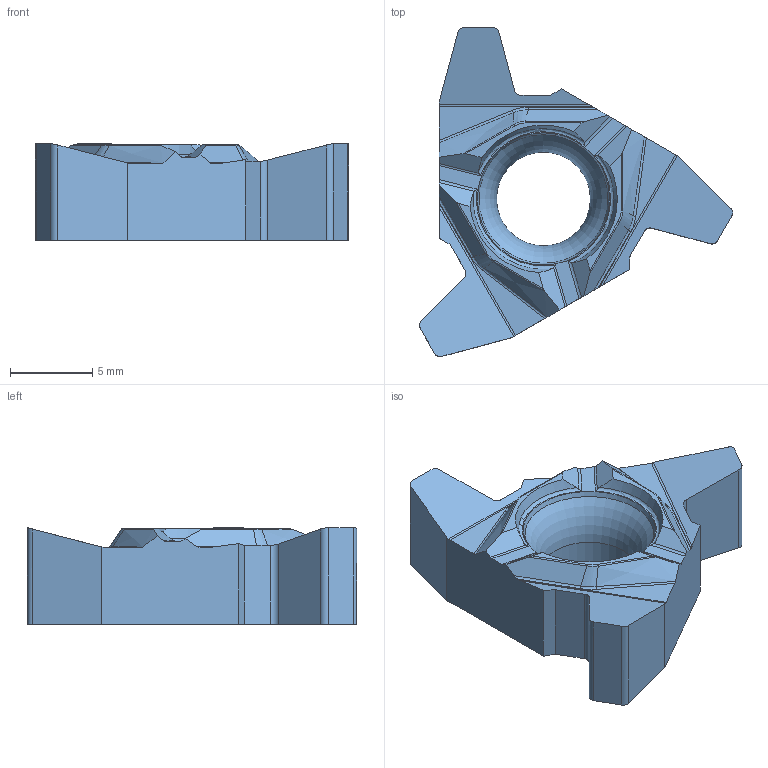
import cadquery as cq
import math

TEETH = 3
TURN = 360 / TEETH
REACH = 30.0
TOLERANCE = 0.01

SIDE_OFFSET = 6.34
RELIEF_OFFSET = 6.30
TIP_OFFSET = 10.43
TOOTH_CENTER_X = -3.955
TIP_HALF_WIDTH = 1.17
FLANK_ANGLE = math.radians(15)
TIP_RADIUS = 0.40
ROOT_RADIUS = 0.40
RELIEF_END_X = 0.44
CORNER_X = 1.09

TIP_HEIGHT = 5.87
LAND_HEIGHT = 4.64
BOSS_HEIGHT = 5.82

SLOPE_START = 5.68
SLOPE_BLEND = 0.06

FACE_TOP_OFFSET = 4.68
FACE_BASE_OFFSET = 5.48
FACE_DIRECTION = 90.0
SLANT_TOP_OFFSET = 4.79
SLANT_TOP_DIRECTION = 120.0
SLANT_BASE_OFFSET = 5.60
SLANT_BASE_DIRECTION = 112.0
CORNER_TOP_RADIUS = 1.3
CORNER_BASE_RADIUS = 2.5
BOSS_FOOT_RADIUS = 0.20
BOSS_RIM_RADIUS = 0.12

SLOT_DIRECTION = 166.0
SLOT_FLOOR_HEIGHT = 5.05
SLOT_FLOOR_HALF_WIDTH = 0.50
SLOT_WALL_ANGLE = math.radians(53)
SLOT_LEADING_RADIUS = 0.30
SLOT_TRAILING_RADIUS = 0.20
SLOT_START = 3.0

THROAT_RADIUS = 5.7 / 2
BOWL_RADIUS = 3.92
BOWL_BOTTOM = 2.10
BOWL_TOP = 4.74
LEDGE_INNER_RADIUS = 4.02
LEDGE_OUTER_RADIUS = 4.08
RECESS_FOOT_RADIUS = 4.29
RECESS_FOOT_HEIGHT = 5.20
RECESS_TOP_RADIUS = 4.49


def turned(shape, index):
    return shape.rotate((0, 0, 0), (0, 0, 1), index * TURN)


def turned_point(point, index):
    angle = math.radians(index * TURN)
    x, y = point
    return (x * math.cos(angle) - y * math.sin(angle), x * math.sin(angle) + y * math.cos(angle))


def near(points):
    """Selector for vertical edges standing on any of the given plan points."""
    def test(edge):
        center = edge.Center()
        return any(math.hypot(center.x - x, center.y - y) < TOLERANCE for x, y in points)
    return test


def make_prism():
    """Full-height prism with the outline of the insert."""
    flank = math.tan(FLANK_ANGLE)
    tip_left = (TOOTH_CENTER_X - TIP_HALF_WIDTH, TIP_OFFSET)
    tip_right = (TOOTH_CENTER_X + TIP_HALF_WIDTH, TIP_OFFSET)
    joint = (-SIDE_OFFSET, TIP_OFFSET - (tip_left[0] + SIDE_OFFSET) / flank)
    root = (tip_right[0] + (TIP_OFFSET - RELIEF_OFFSET) * flank, RELIEF_OFFSET)
    relief_end = (RELIEF_END_X, RELIEF_OFFSET)
    side_normal = math.radians(180 - TURN)
    corner_y = (SIDE_OFFSET - CORNER_X * math.cos(side_normal)) / math.sin(side_normal)
    third = [(CORNER_X, corner_y), relief_end, root, tip_right, tip_left, joint]

    outline = [turned_point(p, i) for i in range(TEETH) for p in third]
    tips = [turned_point(p, i) for i in range(TEETH) for p in (tip_left, tip_right)]
    roots = [turned_point(root, i) for i in range(TEETH)]
    prism = cq.Workplane("XY").polyline(outline).close().extrude(TIP_HEIGHT)
    prism = prism.newObject(prism.edges("|Z").filter(near(tips)).vals()).fillet(TIP_RADIUS)
    return prism.newObject(prism.edges("|Z").filter(near(roots)).vals()).fillet(ROOT_RADIUS)


def make_tooth_slope():
    """Wedge on the +Y side that raises the tooth top from the land to the tip."""
    slope = math.atan2(TIP_HEIGHT - LAND_HEIGHT, TIP_OFFSET - SLOPE_START)
    blend_end = (
        SLOPE_START + SLOPE_BLEND * math.cos(slope),
        LAND_HEIGHT + SLOPE_BLEND * math.sin(slope),
    )
    blend_start = SLOPE_START - SLOPE_BLEND
    return (
        cq.Workplane("YZ")
        .moveTo(SLOPE_START / 2, LAND_HEIGHT)
        .lineTo(blend_start, LAND_HEIGHT)
        .tangentArcPoint(blend_end, relative=False)
        .lineTo(TIP_OFFSET, TIP_HEIGHT)
        .lineTo(TIP_OFFSET, 0)
        .lineTo(SLOPE_START / 2, 0)
        .close()
        .extrude(REACH / 2, both=True)
    )


def meeting_point(offset_a, direction_a, offset_b, direction_b):
    """Plan point where two lines, given by normal direction and offset, cross."""
    a = math.radians(direction_a)
    b = math.radians(direction_b)
    span = math.sin(b - a)
    x = (offset_a * math.sin(b) - offset_b * math.sin(a)) / span
    y = (offset_b * math.cos(a) - offset_a * math.cos(b)) / span
    return (x, y)


def boss_section(face_offset, slant_offset, slant_direction, corner_radius, height):
    """Six-sided wire with one rounded and one sharp corner per third."""
    rounded = meeting_point(face_offset, FACE_DIRECTION, slant_offset, slant_direction)
    sharp = meeting_point(slant_offset, slant_direction - TURN, face_offset, FACE_DIRECTION)
    turn_angle = math.radians(slant_direction - FACE_DIRECTION)
    tangent = corner_radius * math.tan(turn_angle / 2)
    sagitta = corner_radius * (1 / math.cos(turn_angle / 2) - 1)
    bisector = math.radians((slant_direction + FACE_DIRECTION) / 2)
    slant = math.radians(slant_direction)
    arc_start = (rounded[0] + tangent, rounded[1])
    arc_mid = (rounded[0] - sagitta * math.cos(bisector), rounded[1] - sagitta * math.sin(bisector))
    arc_end = (rounded[0] - tangent * math.sin(slant), rounded[1] + tangent * math.cos(slant))

    path = cq.Workplane("XY", origin=(0, 0, height)).moveTo(*sharp)
    for i in range(TEETH):
        path = path.lineTo(*turned_point(arc_start, i))
        path = path.threePointArc(turned_point(arc_mid, i), turned_point(arc_end, i))
        if i < TEETH - 1:
            path = path.lineTo(*turned_point(sharp, i + 1))
    return path.close().val()


def make_boss():
    """Land slab carrying the frustum, with a rounded foot and rim."""
    base = boss_section(
        FACE_BASE_OFFSET, SLANT_BASE_OFFSET, SLANT_BASE_DIRECTION, CORNER_BASE_RADIUS, LAND_HEIGHT
    )
    top = boss_section(
        FACE_TOP_OFFSET, SLANT_TOP_OFFSET, SLANT_TOP_DIRECTION, CORNER_TOP_RADIUS, BOSS_HEIGHT
    )
    frustum = cq.Workplane(cq.Solid.makeLoft([base, top], True))
    rounded = frustum.faces(">Z").edges().fillet(BOSS_RIM_RADIUS)
    slab = cq.Workplane("XY").rect(REACH, REACH).extrude(LAND_HEIGHT)
    around_foot = cq.selectors.BoxSelector(
        (-REACH / 3, -REACH / 3, LAND_HEIGHT - TOLERANCE),
        (REACH / 3, REACH / 3, LAND_HEIGHT + TOLERANCE),
    )
    return slab.union(rounded).edges(around_foot).fillet(BOSS_FOOT_RADIUS)


def make_slot():
    """Flared radial slot cutter with rounded floor edges."""
    rise = TIP_HEIGHT - SLOT_FLOOR_HEIGHT
    top_half_width = SLOT_FLOOR_HALF_WIDTH + rise * math.tan(SLOT_WALL_ANGLE)
    cutter = (
        cq.Workplane("YZ", origin=(SLOT_START, 0, 0))
        .polyline([
            (-SLOT_FLOOR_HALF_WIDTH, SLOT_FLOOR_HEIGHT),
            (SLOT_FLOOR_HALF_WIDTH, SLOT_FLOOR_HEIGHT),
            (top_half_width, TIP_HEIGHT),
            (-top_half_width, TIP_HEIGHT),
        ])
        .close()
        .extrude(SIDE_OFFSET)
        .faces("<Z")
        .edges(">Y")
        .fillet(SLOT_LEADING_RADIUS)
        .faces("<Z")
        .edges("<Y")
        .fillet(SLOT_TRAILING_RADIUS)
    )
    return cutter.rotate((0, 0, 0), (0, 0, 1), SLOT_DIRECTION)


def make_bore():
    """Through hole, bell-mouthed seat and recess, all about the Z axis."""
    run = BOWL_RADIUS - THROAT_RADIUS
    rise = BOWL_TOP - BOWL_BOTTOM
    bell_radius = (run**2 + rise**2) / (2 * run)
    half_sweep = math.atan2(run, rise)
    bell_mid = (
        THROAT_RADIUS + bell_radius * (1 - math.cos(half_sweep)),
        BOWL_BOTTOM + bell_radius * math.sin(half_sweep),
    )
    return (
        cq.Workplane("XZ")
        .moveTo(0, 0)
        .lineTo(THROAT_RADIUS, 0)
        .lineTo(THROAT_RADIUS, BOWL_BOTTOM)
        .threePointArc(bell_mid, (BOWL_RADIUS, BOWL_TOP))
        .lineTo(LEDGE_INNER_RADIUS, SLOT_FLOOR_HEIGHT)
        .lineTo(LEDGE_OUTER_RADIUS, SLOT_FLOOR_HEIGHT)
        .tangentArcPoint((RECESS_FOOT_RADIUS, RECESS_FOOT_HEIGHT), relative=False)
        .lineTo(RECESS_TOP_RADIUS, BOSS_HEIGHT)
        .lineTo(RECESS_TOP_RADIUS, TIP_HEIGHT)
        .lineTo(0, TIP_HEIGHT)
        .close()
        .revolve()
    )


top_shape = make_boss()
for index in range(TEETH):
    top_shape = top_shape.cut(turned(make_slot(), index))
for index in range(TEETH):
    top_shape = top_shape.union(turned(make_tooth_slope(), index))
result = make_prism().intersect(top_shape).cut(make_bore())